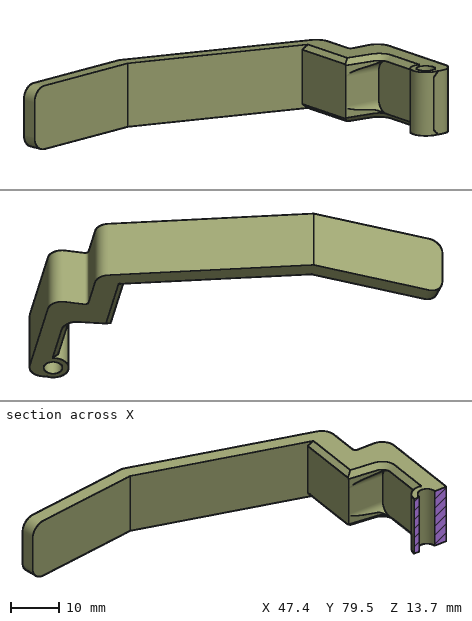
import cadquery as cq
import math


HEIGHT = 13.7
HALF_HEIGHT = HEIGHT / 2
LENGTH_X = 47.39
LENGTH_Y = 79.45
OUTER_RADIUS = 3.0

HOLE_DIAMETER = 3.9
KNUCKLE_RADIUS = 3.25

BACK_Y = 4.9
RECESS_Y = -0.45
STEP_Y = -3.0
BLOCK_Y = -9.1
STEP_X = -22.0
STEP_RADIUS = 0.75
BLOCK_CORNER_X = -15.45
WALL_ANGLE = 6.0
RECESS_RADIUS = 2.0
RECESS_CHAMFER = 1.2
BLOCK_CHAMFER_DEPTH = 1.2
BLOCK_CHAMFER_HEIGHT = 1.0

RELIEF_CORNER_RADIUS = 2.5

STRIP_THICKNESS = 3.15
UPPER_ANGLE = 15.8
LOWER_ANGLE = 8.0
KNEE_Y = -46.45

KNEE_X = KNUCKLE_RADIUS - LENGTH_X
END_Y = BACK_Y - LENGTH_Y
UPPER_SLOPE = math.tan(math.radians(UPPER_ANGLE))
LOWER_SLOPE = math.tan(math.radians(LOWER_ANGLE))
WALL_SLOPE = math.tan(math.radians(WALL_ANGLE))
STRIP_TOP_X = KNEE_X + (STEP_Y - KNEE_Y) * UPPER_SLOPE
RECESS_CORNER_X = BLOCK_CORNER_X + (RECESS_Y - BLOCK_Y) * WALL_SLOPE


def extrude_outline(points):
    """Extrude a closed XY outline over the full height."""
    base = cq.Workplane("XY").workplane(offset=-HALF_HEIGHT)
    return base.polyline(points).close().extrude(HEIGHT)


def vertical_edge(x, y):
    """Selector for the vertical edge that passes through (x, y)."""
    return cq.selectors.NearestToPointSelector((x, y, 0))


def upper_strip_inner_x(y):
    """X of the inner face of the upper strip at a given Y."""
    return KNEE_X + (y - KNEE_Y) * UPPER_SLOPE + STRIP_THICKNESS / math.cos(math.radians(UPPER_ANGLE))


def make_hinge_arm():
    """Z-shaped body of hinge arm and offset block, without the strip."""
    outline = [
        (KNUCKLE_RADIUS, BACK_Y),
        (STEP_X, BACK_Y),
        (STEP_X, STEP_Y),
        (upper_strip_inner_x(STEP_Y), STEP_Y),
        (upper_strip_inner_x(BLOCK_Y), BLOCK_Y),
        (BLOCK_CORNER_X, BLOCK_Y),
        (RECESS_CORNER_X, RECESS_Y),
        (KNUCKLE_RADIUS, RECESS_Y),
    ]
    arm = extrude_outline(outline)
    arm = arm.edges(vertical_edge(KNUCKLE_RADIUS, BACK_Y)).fillet(OUTER_RADIUS)
    arm = arm.edges(vertical_edge(STEP_X, BACK_Y)).fillet(OUTER_RADIUS)
    arm = arm.edges(vertical_edge(STEP_X, STEP_Y)).fillet(STEP_RADIUS)
    return arm.edges(vertical_edge(RECESS_CORNER_X, RECESS_Y)).fillet(RECESS_RADIUS)


def chamfer_recess(arm):
    """Chamfer the wall, its corner and the recess face along both flat sides."""
    margin = 0.1
    zone = cq.selectors.BoxSelector(
        (BLOCK_CORNER_X - margin, BLOCK_Y + margin, -HEIGHT),
        (KNUCKLE_RADIUS - margin, RECESS_Y + margin, HEIGHT),
    )
    return arm.faces("|Z").edges(zone).chamfer(RECESS_CHAMFER)


def make_block_chamfer(side):
    """Wedge that bevels the front of the offset block; side is +1 (top) or -1 (bottom)."""
    wedge = [
        (BLOCK_Y, side * HALF_HEIGHT),
        (BLOCK_Y + BLOCK_CHAMFER_DEPTH, side * HALF_HEIGHT),
        (BLOCK_Y, side * (HALF_HEIGHT - BLOCK_CHAMFER_HEIGHT)),
    ]
    start_x = STRIP_TOP_X - STRIP_THICKNESS
    plane = cq.Workplane("YZ").workplane(offset=start_x)
    return plane.polyline(wedge).close().extrude(BLOCK_CHAMFER_DEPTH + BLOCK_CORNER_X - start_x)


def make_relief():
    """Window cut along Y, between the chamfers, with its left corners rounded."""
    window = cq.Workplane("XY").box(
        -BLOCK_CORNER_X,
        RECESS_Y - BLOCK_Y,
        HEIGHT - 2 * RECESS_CHAMFER,
        centered=(False, False, True),
    )
    window = window.translate((BLOCK_CORNER_X, BLOCK_Y, 0))
    return window.faces("<X").edges("|Y").fillet(RELIEF_CORNER_RADIUS)


def make_strip():
    """Bent handle strip with a rounded free end."""
    half_bend = math.radians(UPPER_ANGLE + LOWER_ANGLE) / 2
    miter_lean = math.radians(UPPER_ANGLE - LOWER_ANGLE) / 2
    miter = STRIP_THICKNESS / math.cos(half_bend)
    inner_knee = (KNEE_X + miter * math.cos(miter_lean), KNEE_Y - miter * math.sin(miter_lean))

    lean = math.radians(LOWER_ANGLE)
    end_outer = (KNEE_X + (KNEE_Y - END_Y) * LOWER_SLOPE, END_Y)
    end_inner = (
        end_outer[0] + STRIP_THICKNESS * math.cos(lean),
        end_outer[1] + STRIP_THICKNESS * math.sin(lean),
    )
    outline = [
        (STRIP_TOP_X, STEP_Y),
        (KNEE_X, KNEE_Y),
        end_outer,
        end_inner,
        inner_knee,
        (upper_strip_inner_x(STEP_Y), STEP_Y),
    ]
    strip = extrude_outline(outline)
    strip = strip.edges(vertical_edge(STRIP_TOP_X, STEP_Y)).fillet(OUTER_RADIUS)
    for z in (-HALF_HEIGHT, HALF_HEIGHT):
        middle = ((end_outer[0] + end_inner[0]) / 2, (end_outer[1] + end_inner[1]) / 2, z)
        strip = strip.edges(cq.selectors.NearestToPointSelector(middle)).fillet(OUTER_RADIUS)
    return strip


def make_cylinder(radius):
    """Full-height cylinder on the hinge axis."""
    return cq.Workplane("XY").workplane(offset=-HALF_HEIGHT).circle(radius).extrude(HEIGHT)


body = chamfer_recess(make_hinge_arm())
for side in (1, -1):
    body = body.cut(make_block_chamfer(side))
body = body.cut(make_relief())
body = body.union(make_strip())
body = body.union(make_cylinder(KNUCKLE_RADIUS))
result = body.cut(make_cylinder(HOLE_DIAMETER / 2))